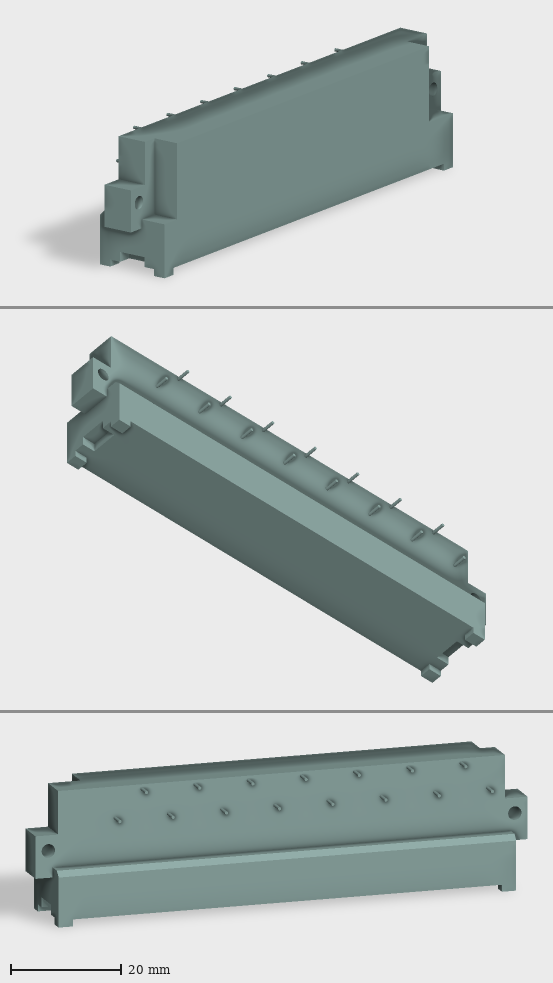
import cadquery as cq

depth = 14.7
length = 93.95
height = 24.7

base_length = 87.4
pin_ledge_z = 10.4
back_ledge_z = 10.2
edge_chamfer = 1.0

foot_depth = 2.35
foot_length = 2.7
foot_height = 1.3
notch_start_x = 4.6
notch_end_x = 10.1
notch_top_z = 3.2
notch_length = foot_length

slab_start_x = 3.5
slab_end_x = 9.5
slab_length = 85.3
block_start_y = -39.8
block_end_y = 36.45

lug_bottom_z = 8.55
lug_top_z = 16.5
lug_hole_diameter = 2.5
lug_hole_y = 44.5
lug_hole_z = 13.6

pin_diameter = 0.6
pin_tip_x = 0.7
pin_root_depth = 0.9
lower_row_count = 8
upper_row_count = lower_row_count - 1
lower_row_length = 71.1
pin_pitch = lower_row_length / (lower_row_count - 1)
pin_row_gap = pin_pitch / 2
lower_row_end_y = 31.8
pin_center_y = lower_row_end_y - lower_row_length / 2
upper_row_z = 23.9


def block(x_range, y_range, z_range):
    """Box given by its start and end along each axis."""
    ranges = (x_range, y_range, z_range)
    size = [end - start for start, end in ranges]
    corner = tuple(start for start, end in ranges)
    return cq.Workplane("XY").box(*size, centered=False).translate(corner)


def centered_span(width):
    """Start and end of a span centred on zero."""
    return (-width / 2, width / 2)


def make_base():
    """Base with a chamfered long edge, stepped ledges, corner feet and end notches."""
    base = (
        cq.Workplane("XZ")
        .polyline([
            (0, 0),
            (depth, 0),
            (depth, back_ledge_z),
            (slab_end_x, back_ledge_z),
            (slab_end_x, pin_ledge_z),
            (edge_chamfer, pin_ledge_z),
            (0, pin_ledge_z - edge_chamfer),
        ])
        .close()
        .extrude(base_length / 2, both=True)
    )
    foot_zone = (0, foot_height)
    base = base.cut(block((foot_depth, depth - foot_depth), centered_span(base_length), foot_zone))
    base = base.cut(block((0, depth), centered_span(base_length - 2 * foot_length), foot_zone))

    for end in (-1, 1):
        outer_y = end * base_length / 2
        inner_y = outer_y - end * notch_length
        notch_span = (min(inner_y, outer_y), max(inner_y, outer_y))
        base = base.cut(block((notch_start_x, notch_end_x), notch_span, (foot_height, notch_top_z)))
    return base


def make_upper_body():
    """Front slab, the shorter block behind it, and the lug bar running through both ends."""
    slab_span = (slab_start_x, slab_end_x)
    slab = block(slab_span, centered_span(slab_length), (lug_bottom_z, height))
    back = block((slab_start_x, depth), (block_start_y, block_end_y), (lug_bottom_z, height))
    lugs = block(slab_span, centered_span(length), (lug_bottom_z, lug_top_z))
    return slab.union(back).union(lugs)


def make_lug_holes():
    """Round holes through both lugs along X."""
    return (
        cq.Workplane("YZ")
        .pushPoints([(-lug_hole_y, lug_hole_z), (lug_hole_y, lug_hole_z)])
        .circle(lug_hole_diameter / 2)
        .extrude(depth)
    )


def make_pin_row(count, z):
    """Row of evenly spaced round pins, rooted a little way inside the slab."""
    first_y = pin_center_y - pin_pitch * (count - 1) / 2
    points = [(first_y + i * pin_pitch, z) for i in range(count)]
    return (
        cq.Workplane("YZ", origin=(pin_tip_x, 0, 0))
        .pushPoints(points)
        .circle(pin_diameter / 2)
        .extrude(slab_start_x + pin_root_depth - pin_tip_x)
    )


connector = make_base().union(make_upper_body()).cut(make_lug_holes())
connector = connector.union(make_pin_row(upper_row_count, upper_row_z))
result = connector.union(make_pin_row(lower_row_count, upper_row_z - pin_row_gap))